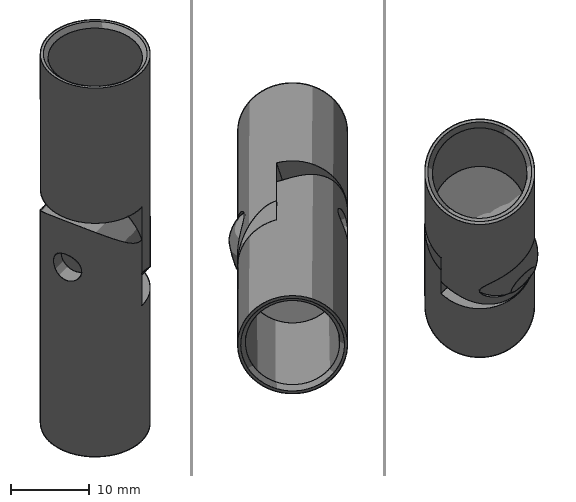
import cadquery as cq
import math

length = 60.0
body_radius = 21 / 3
pivot_height = length / 2

tongue_radius = 7.5
end_gap = 3 / 6
shoulder_offset = tongue_radius + end_gap

bore_radius = 6.0
bore_depth = 18.0
mouth_chamfer = 0.6
drill_point_angle = 120.0

pin_radius = 2.1
pin_end_recess = 2.15
head_radius = 5.0
head_seat = 3.0
head_top = 7.8
dome_radius = 5.3
dome_center = 3.0


def cylinder_along_y(radius, y_start, y_end):
    """Cylinder on the pivot axis between two Y positions."""
    return cq.Workplane(cq.Solid.makeCylinder(
        radius, y_end - y_start, cq.Vector(0, y_start, pivot_height), cq.Vector(0, 1, 0)
    ))


def bore_cutter():
    """Drilled bore that opens at Z = 0, with a chamfered mouth and a conical bottom."""
    point_height = bore_radius / math.tan(math.radians(drill_point_angle / 2))
    return (
        cq.Workplane("XZ")
        .lineTo(bore_radius + mouth_chamfer, 0)
        .lineTo(bore_radius, mouth_chamfer)
        .lineTo(bore_radius, bore_depth)
        .lineTo(0, bore_depth + point_height)
        .close()
        .revolve(360, (0, 0, 0), (0, 1, 0))
    )


def tube_blank():
    """Bored lower tube whose half-round tongue fills the -Y side of the joint."""
    shoulder_height = pivot_height - shoulder_offset
    barrel = cq.Workplane("XY").circle(body_radius).extrude(shoulder_height)
    column = cq.Workplane("XY").circle(body_radius).extrude(length)
    tongue_outline = (
        cylinder_along_y(tongue_radius, -body_radius, 0)
        .union(
            cq.Workplane("XY")
            .box(2 * body_radius, body_radius, pivot_height, centered=(True, False, False))
            .translate((0, -body_radius, 0))
        )
    )
    return barrel.union(column.intersect(tongue_outline)).cut(bore_cutter())


def lower_tube():
    return tube_blank().cut(cylinder_along_y(pin_radius, -body_radius, 0))


def upper_tube():
    """Same blank turned half a turn about X, with a counterbore for the pin head."""
    pivot = (0, 0, pivot_height)
    turned = tube_blank().rotate(pivot, (1, 0, pivot_height), 180)
    return (
        turned
        .cut(cylinder_along_y(pin_radius, 0, head_seat))
        .cut(cylinder_along_y(head_radius, head_seat, body_radius))
    )


def pivot_pin():
    """Pin with a domed head that is cut flat on top."""
    shank = cylinder_along_y(pin_radius, pin_end_recess - body_radius, head_seat)
    dome = cq.Workplane("XY").sphere(dome_radius).translate((0, dome_center, pivot_height))
    head = cylinder_along_y(head_radius, head_seat, head_top).intersect(dome)
    return shank.union(head)


result = cq.Compound.makeCompound([
    lower_tube().val(),
    upper_tube().val(),
    pivot_pin().val(),
])